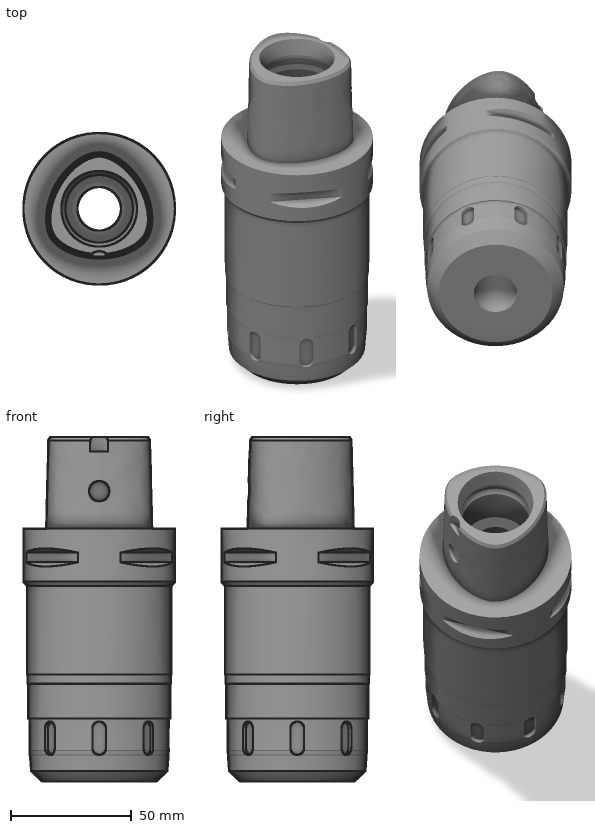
import cadquery as cq
import math


SHANK_LENGTH = 38.0
POLYGON_RADIUS = 22.05
POLYGON_LOBE = 1.4
TAPER_RATIO = 20.0
LEAD_CHAMFER_HEIGHT = 1.4
LEAD_CHAMFER_WIDTH = 0.9
POLYGON_POINTS = 48

FLANGE_RADIUS = 31.5
FLANGE_EDGE_DEPTH = 22.0
FLANGE_CHAMFER_HEIGHT = 1.75
BODY_RADIUS = 30.0
BAND_RADIUS = 29.85
BAND_TOP_DEPTH = 60.5
BAND_BOTTOM_DEPTH = 64.2
BAND_CHAMFER = 0.35
NUT_COLLAR_RADIUS = 29.5
NUT_COLLAR_DEPTH = 78.8
NUT_RADIUS = 29.0
NUT_BEVEL_TOP_DEPTH = 92.1
NUT_BEVEL_BOTTOM_DEPTH = 94.0
NUT_NOSE_TOP_RADIUS = 28.8
NUT_NOSE_DEPTH = 100.5
NUT_NOSE_RADIUS = 28.3
END_RADIUS = 23.6
TOTAL_DEPTH = 105.0

MOUTH_RADIUS = 15.7
SOCKET_RADIUS = 14.0
MOUTH_CONE_DEPTH = 6.8
GROOVE_TOP_DEPTH = 8.2
GROOVE_FLOOR_END = 12.1
GROOVE_END = 13.6
SOCKET_DEPTH = 30.0
THROUGH_RADIUS = 9.0

KEYWAY_RADIUS = 4.5
KEYWAY_INNER_REACH = 17.6
KEYWAY_DEPTH = 6.1
PIN_HOLE_DIAMETER = 8.4
PIN_HOLE_HEIGHT = 15.5
PIN_HOLE_FLOOR = 14.8

GRIP_COUNT = 4
GRIP_FLAT_DISTANCE = 27.6
GRIP_FLAT_HEIGHT = 3.9
GRIP_MOUTH_HEIGHT = 7.5
GRIP_CENTRE_DEPTH = 12.0

WRENCH_COUNT = 8
WRENCH_WIDTH = 5.7
WRENCH_LENGTH = 13.8
WRENCH_CENTRE_DEPTH = 87.0
WRENCH_FLOOR_DISTANCE = 27.2


def polygon_wire(mean_radius, height):
    """Closed three-lobed curve of constant width, with one lobe toward +Y."""
    points = []
    for index in range(POLYGON_POINTS):
        angle = 2 * math.pi * index / POLYGON_POINTS
        along = mean_radius * math.cos(angle)
        along += POLYGON_LOBE * (2 * math.cos(2 * angle) - math.cos(4 * angle))
        across = mean_radius * math.sin(angle)
        across -= POLYGON_LOBE * (2 * math.sin(2 * angle) + math.sin(4 * angle))
        points.append(cq.Vector(-across, along, height))
    return cq.Wire.assembleEdges([cq.Edge.makeSpline(points, periodic=True)])


def make_shank():
    shoulder_height = SHANK_LENGTH - LEAD_CHAMFER_HEIGHT
    shoulder_radius = POLYGON_RADIUS - shoulder_height / (2 * TAPER_RATIO)
    base = polygon_wire(POLYGON_RADIUS, 0)
    shoulder = polygon_wire(shoulder_radius, shoulder_height)
    top = polygon_wire(shoulder_radius - LEAD_CHAMFER_WIDTH, SHANK_LENGTH)
    taper = cq.Solid.makeLoft([base, shoulder], True)
    chamfer = cq.Solid.makeLoft([shoulder, top], True)
    return cq.Workplane(obj=taper).union(cq.Workplane(obj=chamfer))


def make_body():
    profile = [
        (0, 0),
        (FLANGE_RADIUS, 0),
        (FLANGE_RADIUS, -FLANGE_EDGE_DEPTH),
        (BODY_RADIUS, -FLANGE_EDGE_DEPTH - FLANGE_CHAMFER_HEIGHT),
        (BODY_RADIUS, -BAND_TOP_DEPTH),
        (BAND_RADIUS, -BAND_TOP_DEPTH),
        (BAND_RADIUS, -BAND_BOTTOM_DEPTH),
        (NUT_COLLAR_RADIUS, -BAND_BOTTOM_DEPTH - BAND_CHAMFER),
        (NUT_COLLAR_RADIUS, -NUT_COLLAR_DEPTH),
        (NUT_RADIUS, -NUT_COLLAR_DEPTH),
        (NUT_RADIUS, -NUT_BEVEL_TOP_DEPTH),
        (NUT_NOSE_TOP_RADIUS, -NUT_BEVEL_BOTTOM_DEPTH),
        (NUT_NOSE_RADIUS, -NUT_NOSE_DEPTH),
        (END_RADIUS, -TOTAL_DEPTH),
        (0, -TOTAL_DEPTH),
    ]
    return cq.Workplane("XZ").polyline(profile).close().revolve(360, (0, 0), (0, 1))


def make_bore():
    profile = [
        (0, SHANK_LENGTH),
        (MOUTH_RADIUS, SHANK_LENGTH),
        (SOCKET_RADIUS, SHANK_LENGTH - MOUTH_CONE_DEPTH),
        (SOCKET_RADIUS, SHANK_LENGTH - GROOVE_TOP_DEPTH),
        (MOUTH_RADIUS, SHANK_LENGTH - GROOVE_TOP_DEPTH),
        (MOUTH_RADIUS, SHANK_LENGTH - GROOVE_FLOOR_END),
        (SOCKET_RADIUS, SHANK_LENGTH - GROOVE_END),
        (SOCKET_RADIUS, SHANK_LENGTH - SOCKET_DEPTH),
        (THROUGH_RADIUS, SHANK_LENGTH - SOCKET_DEPTH),
        (THROUGH_RADIUS, -TOTAL_DEPTH),
        (0, -TOTAL_DEPTH),
    ]
    return cq.Workplane("XZ").polyline(profile).close().revolve(360, (0, 0), (0, 1))


def make_keyway():
    return (
        cq.Workplane("XY", origin=(0, 0, SHANK_LENGTH - KEYWAY_DEPTH))
        .center(0, -KEYWAY_INNER_REACH - KEYWAY_RADIUS)
        .circle(KEYWAY_RADIUS)
        .extrude(KEYWAY_DEPTH)
    )


def make_pin_hole():
    return (
        cq.Workplane("XZ", origin=(0, -PIN_HOLE_FLOOR, PIN_HOLE_HEIGHT))
        .circle(PIN_HOLE_DIAMETER / 2)
        .extrude(POLYGON_RADIUS - PIN_HOLE_FLOOR)
    )


def make_grip_groove():
    """Groove toward +X whose sloped sides open from the flat to the rim."""
    flat_half = GRIP_FLAT_HEIGHT / 2
    mouth_half = GRIP_MOUTH_HEIGHT / 2
    profile = [
        (GRIP_FLAT_DISTANCE, -flat_half),
        (FLANGE_RADIUS, -mouth_half),
        (FLANGE_RADIUS, mouth_half),
        (GRIP_FLAT_DISTANCE, flat_half),
    ]
    return (
        cq.Workplane("XZ", origin=(0, 0, -GRIP_CENTRE_DEPTH))
        .polyline(profile)
        .close()
        .extrude(FLANGE_RADIUS, both=True)
    )


def make_wrench_slot():
    """Round-ended upright slot toward +X."""
    return (
        cq.Workplane("YZ", origin=(WRENCH_FLOOR_DISTANCE, 0, -WRENCH_CENTRE_DEPTH))
        .slot2D(WRENCH_LENGTH, WRENCH_WIDTH, 90)
        .extrude(FLANGE_RADIUS - WRENCH_FLOOR_DISTANCE)
    )


def cut_around(part, cutter, count, first_angle):
    """Cut `count` evenly spaced copies of `cutter` around the Z axis."""
    for index in range(count):
        angle = first_angle + 360 * index / count
        part = part.cut(cutter.rotate((0, 0, 0), (0, 0, 1), angle))
    return part


result = make_body().union(make_shank())
result = result.cut(make_bore()).cut(make_keyway()).cut(make_pin_hole())
result = cut_around(result, make_grip_groove(), GRIP_COUNT, 180 / GRIP_COUNT)
result = cut_around(result, make_wrench_slot(), WRENCH_COUNT, 0)